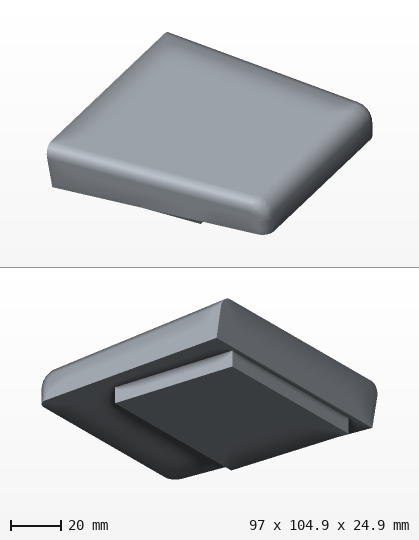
import cadquery as cq
import math

length = 97.0
rear_width = 104.9
rear_height = 17.9
rear_overhang = 3.1
top_slope = 2.25
side_taper = 4.25
nose_radius = 8.0
edge_radius = 5.0

pad_length = 58.0
pad_width = 78.0
pad_depth = 7.0
pad_setback = 5.1

widest_x = edge_radius * rear_overhang / rear_height
front_height = rear_height - length * math.tan(math.radians(top_slope))


def half_width(x):
    """Half the cover width at distance x from its upper rear edge."""
    return rear_width / 2 - (x - widest_x) * math.tan(math.radians(side_taper))


def make_cover():
    side_profile = (
        cq.Workplane("XZ")
        .polyline([
            (rear_overhang, 0),
            (length, 0),
            (length, front_height),
            (0, rear_height),
        ])
        .close()
        .extrude(rear_width, both=True)
        .faces(">X")
        .edges(">Z")
        .fillet(nose_radius)
    )
    plan = (
        cq.Workplane("XY")
        .polyline([
            (0, -half_width(0)),
            (length, -half_width(length)),
            (length, half_width(length)),
            (0, half_width(0)),
        ])
        .close()
        .extrude(rear_height)
    )
    cover = side_profile.intersect(plan)

    return cover.faces(">X").edges("|Z").fillet(edge_radius)


def make_pad():
    return (
        cq.Workplane("XY")
        .box(pad_length, pad_width, pad_depth, centered=(False, True, False))
        .translate((pad_setback, 0, -pad_depth))
    )


result = make_cover().union(make_pad())